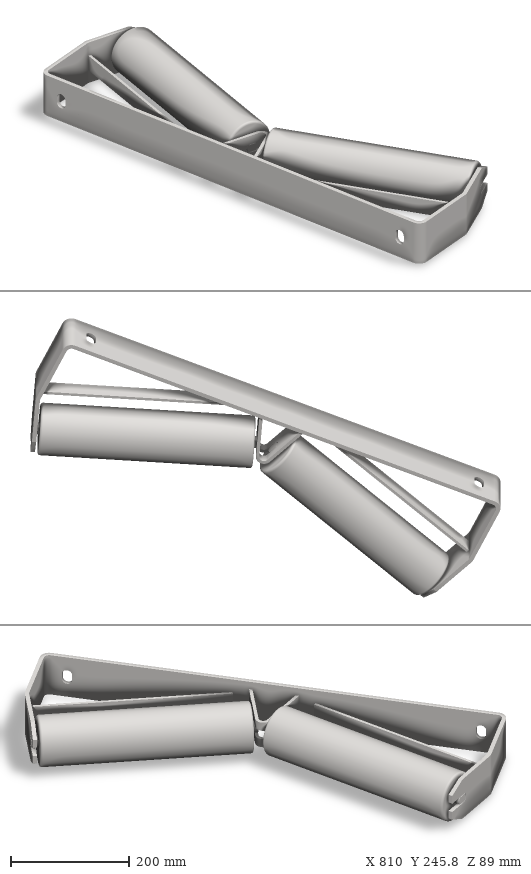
import cadquery as cq
import math


TILT = 20.0
FRAME_LENGTH = 810.0
FRAME_WIDTH = 80.0
FRAME_THICK = 7.0
FRAME_BEND = 16.0
ARM_BEND_Y = 127.0
AXIS_UP_ARM = 87.5
ARM_TIP = 31.5
ARM_TAPER = 31.5
ARM_TIP_WIDTH = 49.0

MOUNT_X = 360.0
MOUNT_WIDTH = 18.0
MOUNT_HEIGHT = 27.5

ROLLER_DIA = 89.0
ROLLER_LENGTH = 364.0
ROLLER_FILLET = 4.0
ROLLER_GAP = 5.0
SHAFT_DIA = 20.0
SHAFT_FLATS = 14.0
SLOT_WIDTH = 17.0
SEAT_DROP = 2.8

BRACKET_WIDTH = 50.0
BRACKET_THICK = 6.0
BRACKET_BEND = 14.0

BRACE_WIDTH = 29.0
BRACE_THICK = 5.0
BRACE_END_X = 70.5

OVERCUT = 81.0

SIN = math.sin(math.radians(TILT))
COS = math.cos(math.radians(TILT))
TAN = math.tan(math.radians(TILT))
HALF_LENGTH = FRAME_LENGTH / 2
AXIS_X = -HALF_LENGTH + AXIS_UP_ARM * SIN
AXIS_Y = ARM_BEND_Y + AXIS_UP_ARM * COS
ROLLER_START = FRAME_THICK + ROLLER_GAP
BRACKET_FACE = ROLLER_START + ROLLER_LENGTH + ROLLER_GAP
SHAFT_LENGTH = BRACKET_FACE + BRACKET_THICK


def axis_plane(distance):
    """Plane square to the left roller axis: local X up the arm, local Y along Z."""
    origin = (AXIS_X + distance * COS, AXIS_Y - distance * SIN, 0)
    return cq.Plane(origin=origin, xDir=(SIN, COS, 0), normal=(COS, -SIN, 0))


def mirrored(body):
    """The same body on the other side of the centre plane."""
    return body.mirror("YZ")


def prism(points, width):
    """Outline in XY given thickness along Z, centred on Z = 0."""
    return cq.Workplane("XY").polyline(points).close().extrude(width / 2, both=True)


def shaft_slot(start, depth):
    """Slot open at the top, with a full-round seat just below the shaft."""
    plane = axis_plane(start)
    seat = cq.Workplane(plane).center(-SEAT_DROP, 0).circle(SLOT_WIDTH / 2).extrude(depth)
    mouth = (
        cq.Workplane(plane)
        .center(OVERCUT / 2 - SEAT_DROP, 0)
        .rect(OVERCUT, SLOT_WIDTH)
        .extrude(depth)
    )
    return seat.union(mouth)


def arm_tapers(start, depth):
    """Wedges that narrow the left arm symmetrically towards its tip."""
    wedge = (
        cq.Workplane(axis_plane(start))
        .moveTo(ARM_TIP - ARM_TAPER, FRAME_WIDTH / 2)
        .lineTo(ARM_TIP, ARM_TIP_WIDTH / 2)
        .lineTo(ARM_TIP, FRAME_WIDTH / 2)
        .close()
        .extrude(depth)
    )
    return wedge.union(wedge.mirror("XY"))


def above_arm():
    """Everything beyond the left arm tip, as far as past the centre plane."""
    return (
        cq.Workplane(axis_plane(-FRAME_THICK))
        .center(ARM_TIP + HALF_LENGTH / 2, 0)
        .rect(HALF_LENGTH, 2 * FRAME_WIDTH)
        .extrude(HALF_LENGTH + OVERCUT)
    )


def make_frame():
    """Strip bent into base, two posts and two leaning arms."""
    stock_y = AXIS_Y + ARM_TIP + OVERCUT
    stock_x = HALF_LENGTH - (stock_y - ARM_BEND_Y) * TAN
    loop = prism(
        [
            (-HALF_LENGTH, 0),
            (HALF_LENGTH, 0),
            (HALF_LENGTH, ARM_BEND_Y),
            (stock_x, stock_y),
            (-stock_x, stock_y),
            (-HALF_LENGTH, ARM_BEND_Y),
        ],
        FRAME_WIDTH,
    )
    bends = loop.edges("|Z").edges("not(>Y)").fillet(FRAME_BEND)
    frame = bends.faces("|Z").shell(-FRAME_THICK)

    cut_start = -FRAME_THICK
    cut_depth = ROLLER_START - cut_start
    waste = above_arm()
    waste = waste.union(arm_tapers(cut_start, cut_depth))
    waste = waste.union(shaft_slot(cut_start, cut_depth))
    frame = frame.cut(waste).cut(mirrored(waste))

    mounts = (
        cq.Workplane("XZ")
        .pushPoints([(-MOUNT_X, 0), (MOUNT_X, 0)])
        .slot2D(MOUNT_HEIGHT, MOUNT_WIDTH, 90)
        .extrude(-FRAME_THICK)
    )
    return frame.cut(mounts)


def make_bracket():
    """Strip folded into an upside-down V standing on the base."""
    face_x = AXIS_X + BRACKET_FACE * COS
    face_y = AXIS_Y - BRACKET_FACE * SIN
    apex_y = face_y - face_x / TAN
    stock_x = (apex_y + OVERCUT) * TAN
    loop = prism([(-stock_x, -OVERCUT), (stock_x, -OVERCUT), (0, apex_y)], BRACKET_WIDTH)
    fold = loop.edges("|Z and >Y").fillet(BRACKET_BEND)
    bracket = fold.faces("|Z").shell(-BRACKET_THICK)

    below = prism(
        [
            (-stock_x, -OVERCUT),
            (stock_x, -OVERCUT),
            (stock_x, FRAME_THICK),
            (-stock_x, FRAME_THICK),
        ],
        FRAME_WIDTH,
    )
    slot_start = BRACKET_FACE - BRACKET_THICK
    slot = shaft_slot(slot_start, BRACKET_THICK + BRACKET_BEND)
    return bracket.cut(below).cut(slot).cut(mirrored(slot))


def make_roller():
    """Left roller with its flatted shaft, flush with arm and bracket at the ends."""
    barrel = (
        cq.Workplane(axis_plane(ROLLER_START))
        .circle(ROLLER_DIA / 2)
        .extrude(ROLLER_LENGTH)
        .edges()
        .fillet(ROLLER_FILLET)
    )
    rod = cq.Workplane(axis_plane(0)).circle(SHAFT_DIA / 2).extrude(SHAFT_LENGTH)
    flats = cq.Workplane(axis_plane(0)).rect(SHAFT_DIA, SHAFT_FLATS).extrude(SHAFT_LENGTH)
    return barrel.union(rod.intersect(flats))


def make_brace(frame):
    """Left flat bar, parallel to the roller, from the base up to the bend of the post."""
    post_x = -HALF_LENGTH + FRAME_THICK
    end_top = (-BRACE_END_X, FRAME_THICK + BRACE_THICK * COS)
    end_bottom = (-BRACE_END_X - BRACE_THICK * SIN, FRAME_THICK)
    post_bottom = (post_x, end_bottom[1] + (end_bottom[0] - post_x) * TAN)
    post_top = (post_x, end_top[1] + (end_top[0] - post_x) * TAN)
    bar = prism([end_bottom, end_top, post_top, post_bottom], BRACE_WIDTH)
    return bar.cut(frame)


frame = make_frame()
bracket = make_bracket()

pairs = []
for body in (make_roller(), make_brace(frame)):
    pairs.append(body.val())
    pairs.append(mirrored(body).val())

result = cq.Compound.makeCompound([frame.val(), bracket.val(), *pairs])